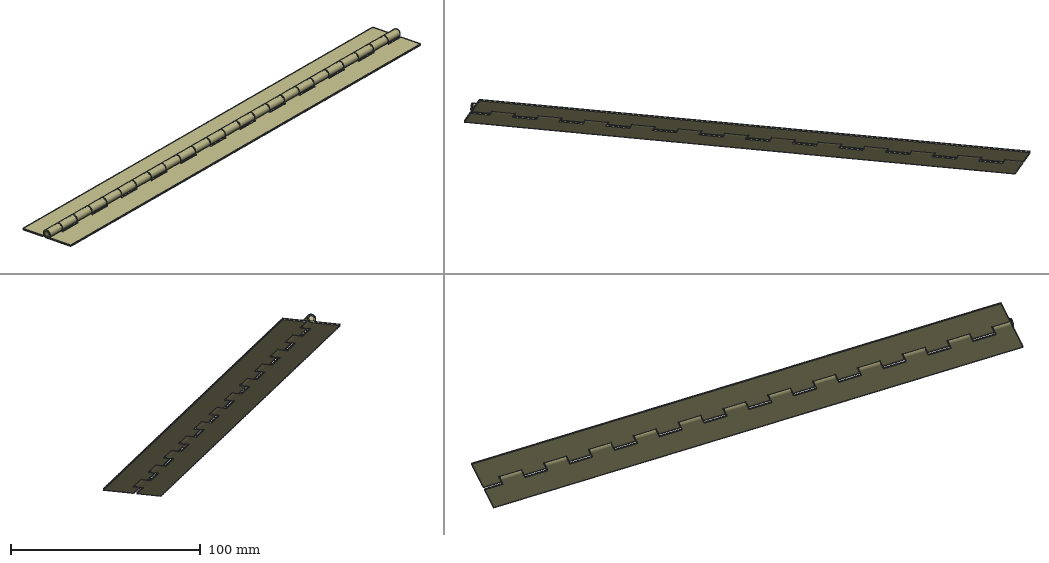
import cadquery as cq

hinge_length = 300.0
leaf_flat_width = 13.2
leaf_thickness = 0.8

knuckle_radius = 2.35
pin_radius = knuckle_radius - leaf_thickness
axis_height = knuckle_radius

knuckle_count = 24
end_shortening = 2.5
knuckle_pitch = (hinge_length + 2 * end_shortening) / knuckle_count
end_knuckle_length = knuckle_pitch - end_shortening
knuckle_gap = 0.2

notch_clearance = 0.45
notch_reach = knuckle_radius + notch_clearance
leaf_reach = notch_reach + leaf_flat_width


def knuckle_span(index):
    """Start and end of a knuckle along Y, counted from the -Y end, with half a gap off each inner face."""
    start = 0.0
    end = hinge_length
    if index > 0:
        start = end_knuckle_length + (index - 1) * knuckle_pitch + knuckle_gap / 2
    if index < knuckle_count - 1:
        end = end_knuckle_length + index * knuckle_pitch - knuckle_gap / 2
    return start - hinge_length / 2, end - hinge_length / 2


def cylinder_along_y(radius, start, end):
    """Cylinder on the hinge axis between two places along Y."""
    return (
        cq.Workplane("XZ", origin=(0, start, axis_height))
        .circle(radius)
        .extrude(start - end)
    )


def strip(side, inner_reach, outer_reach, start, end):
    """Flat strip of leaf sheet between two distances from the hinge axis, on one side (+1 or -1 in X)."""
    return (
        cq.Workplane("XY", origin=(side * (inner_reach + outer_reach) / 2, (start + end) / 2, 0))
        .rect(outer_reach - inner_reach, end - start)
        .extrude(leaf_thickness)
    )


def make_leaf(side, first_knuckle):
    """Leaf on one side, with every second knuckle rolled from its inner edge."""
    leaf = strip(side, notch_reach, leaf_reach, -hinge_length / 2, hinge_length / 2)
    for index in range(first_knuckle, knuckle_count, 2):
        start, end = knuckle_span(index)
        tab = strip(side, 0, notch_reach, start, end)
        barrel = cylinder_along_y(knuckle_radius, start, end)
        leaf = leaf.union(tab.union(barrel))
    pin_hole = cylinder_along_y(pin_radius, -hinge_length / 2, hinge_length / 2)
    return leaf.cut(pin_hole)


def make_pin():
    """Plain pin through all the knuckles, flush with both ends of the hinge."""
    return cylinder_along_y(pin_radius, -hinge_length / 2, hinge_length / 2)


right_leaf = make_leaf(side=1, first_knuckle=0)
left_leaf = make_leaf(side=-1, first_knuckle=1)
pin = make_pin()

result = cq.Compound.makeCompound([right_leaf.val(), left_leaf.val(), pin.val()])